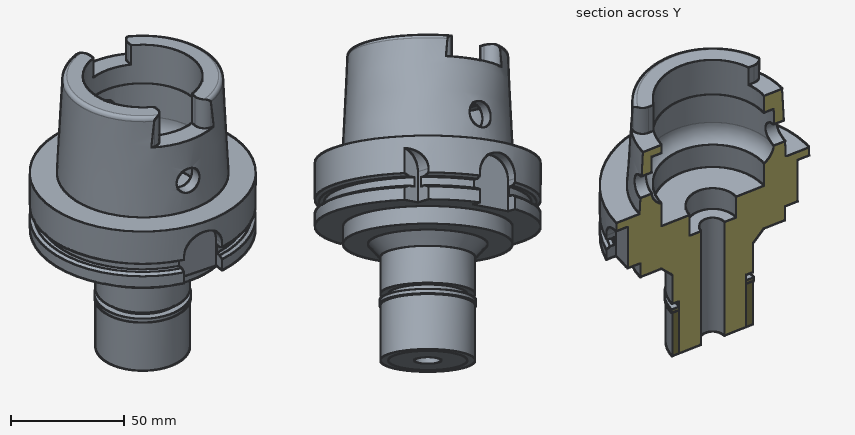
import cadquery as cq
import math


collar_bottom_z = 25.0
collar_height = 2.3
barrel_bottom_z = 30.2
cone_bottom_z = 47.0
boss_bottom_z = 53.0
flange_bottom_z = 61.0
flange_height = 29.0
taper_height = 50.0
flange_top_z = flange_bottom_z + flange_height
shank_top_z = flange_top_z + taper_height

spigot_radius = 17.5
barrel_radius = 21.0
cone_top_radius = 26.5
boss_radius = 37.5
flange_radius = 50.0
taper_base_radius = 38.0
taper_slope = 0.05
taper_top_radius = taper_base_radius - taper_slope * taper_height
taper_top_fillet = 2.0

groove_centre_z = 70.0
groove_half_width = 2.1
groove_floor_radius = 45.9
groove_mouth_depth = 1.9
groove_mouth_rise = 1.1

mouth_bore_radius = 26.5
undercut_radius = 31.5
undercut_top_z = shank_top_z - 20.0
undercut_round_top_z = 99.6
undercut_round = 10.0
bore_floor_z = 78.0
counterbore_radius = 12.0
counterbore_depth = 12.0
coolant_radius = 6.0
access_hole_radius = 6.0
access_hole_z = flange_top_z + 15.0

drive_slot_width = 19.8
drive_slot_round = 5.0
lug_face_x = 32.3
deep_slot_depth = 15.0
shallow_slot_depth = 10.0

notch_half_width = 10.0
notch_top_z = 85.0
side_notch_floor_x = 44.0
orientation_notch_floor_x = 31.6
orientation_notch_y = 41.25

collar_radius = 21.4
collar_chamfer = 0.35


def cylinder(radius, bottom_z, top_z):
    return cq.Workplane("XY").workplane(offset=bottom_z).circle(radius).extrude(top_z - bottom_z)


def shank_blank():
    """Turned outside of the shank, from the spigot up to the open end of the taper."""
    groove_low_z = groove_centre_z - groove_half_width
    groove_high_z = groove_centre_z + groove_half_width
    mouth_radius = flange_radius - groove_mouth_depth
    blank = (
        cq.Workplane("XZ")
        .moveTo(0, 0)
        .lineTo(spigot_radius, 0)
        .lineTo(spigot_radius, barrel_bottom_z)
        .lineTo(barrel_radius, barrel_bottom_z)
        .lineTo(barrel_radius, cone_bottom_z)
        .lineTo(cone_top_radius, boss_bottom_z)
        .lineTo(boss_radius, boss_bottom_z)
        .lineTo(boss_radius, flange_bottom_z)
        .lineTo(flange_radius, flange_bottom_z)
        .lineTo(flange_radius, groove_low_z - groove_mouth_rise)
        .lineTo(mouth_radius, groove_low_z)
        .lineTo(groove_floor_radius, groove_low_z)
        .lineTo(groove_floor_radius, groove_high_z)
        .lineTo(mouth_radius, groove_high_z)
        .lineTo(flange_radius, groove_high_z + groove_mouth_rise)
        .lineTo(flange_radius, flange_top_z)
        .lineTo(taper_base_radius, flange_top_z)
        .lineTo(taper_top_radius, shank_top_z)
        .lineTo(0, shank_top_z)
        .close()
        .revolve(360, (0, 0, 0), (0, 1, 0))
    )
    return blank.faces(">Z").edges().fillet(taper_top_fillet)


def axial_bores():
    """Stepped bore along the axis, as one cutting solid; a round narrows the undercut to the mouth radius."""
    counterbore_floor_z = bore_floor_z - counterbore_depth
    round_centre_r = undercut_radius - undercut_round
    end_angle = math.acos((mouth_bore_radius - round_centre_r) / undercut_round)
    round_end_z = undercut_round_top_z - undercut_round * math.sin(end_angle)
    round_mid_r = round_centre_r + undercut_round * math.cos(end_angle / 2)
    round_mid_z = undercut_round_top_z - undercut_round * math.sin(end_angle / 2)
    return (
        cq.Workplane("XZ")
        .moveTo(0, 0)
        .lineTo(coolant_radius, 0)
        .lineTo(coolant_radius, counterbore_floor_z)
        .lineTo(counterbore_radius, counterbore_floor_z)
        .lineTo(counterbore_radius, bore_floor_z)
        .lineTo(mouth_bore_radius, bore_floor_z)
        .lineTo(mouth_bore_radius, round_end_z)
        .threePointArc((round_mid_r, round_mid_z), (undercut_radius, undercut_round_top_z))
        .lineTo(undercut_radius, undercut_top_z)
        .lineTo(mouth_bore_radius, undercut_top_z)
        .lineTo(mouth_bore_radius, shank_top_z)
        .lineTo(0, shank_top_z)
        .close()
        .revolve(360, (0, 0, 0), (0, 1, 0))
    )


def access_hole():
    """Cutter for the radial hole through both walls of the taper."""
    length = 2 * taper_base_radius
    return (
        cq.Workplane("YZ")
        .workplane(offset=-length / 2)
        .center(0, access_hole_z)
        .circle(access_hole_radius)
        .extrude(length)
    )


def drive_slot(side, depth):
    """Cutter for one drive slot; it flares through rounded corners into flat lug faces.

    side is +1 for the slot at +X and -1 for the slot at -X.
    """
    half_width = drive_slot_width / 2
    outer = taper_base_radius
    round_start_x = lug_face_x - drive_slot_round
    round_end_y = half_width + drive_slot_round
    diagonal = drive_slot_round * math.sqrt(0.5)
    round_mid_x = round_start_x + diagonal
    round_mid_y = round_end_y - diagonal
    return (
        cq.Workplane("XY")
        .workplane(offset=shank_top_z - depth)
        .moveTo(0, -half_width)
        .lineTo(side * round_start_x, -half_width)
        .threePointArc((side * round_mid_x, -round_mid_y), (side * lug_face_x, -round_end_y))
        .lineTo(side * lug_face_x, -outer)
        .lineTo(side * outer, -outer)
        .lineTo(side * outer, outer)
        .lineTo(side * lug_face_x, outer)
        .lineTo(side * lug_face_x, round_end_y)
        .threePointArc((side * round_mid_x, round_mid_y), (side * round_start_x, half_width))
        .lineTo(0, half_width)
        .close()
        .extrude(depth)
    )


def flange_notch(side, floor_x, centre_y):
    """Cutter for a round-topped notch, open at the rim and at the underside of the flange."""
    arch_z = notch_top_z - notch_half_width
    return (
        cq.Workplane("YZ")
        .workplane(offset=side * floor_x)
        .moveTo(centre_y - notch_half_width, flange_bottom_z)
        .lineTo(centre_y - notch_half_width, arch_z)
        .threePointArc((centre_y, notch_top_z), (centre_y + notch_half_width, arch_z))
        .lineTo(centre_y + notch_half_width, flange_bottom_z)
        .close()
        .extrude(side * (flange_radius - floor_x))
    )


def make_shank():
    shank = shank_blank().cut(axial_bores()).cut(access_hole())
    for side, slot_depth in ((1, deep_slot_depth), (-1, shallow_slot_depth)):
        shank = shank.cut(drive_slot(side, slot_depth))
        shank = shank.cut(flange_notch(side, side_notch_floor_x, 0))
    return shank.cut(flange_notch(-1, orientation_notch_floor_x, orientation_notch_y))


def make_collar():
    """Thin ring on the spigot, chamfered at its lower rim."""
    collar_top_z = collar_bottom_z + collar_height
    disc = cylinder(collar_radius, collar_bottom_z, collar_top_z)
    disc = disc.faces("<Z").edges().chamfer(collar_chamfer)
    return disc.cut(cylinder(spigot_radius, collar_bottom_z, collar_top_z))


def make_sleeve():
    """Plain tube around the lower end of the spigot."""
    return cylinder(barrel_radius, 0, collar_bottom_z).cut(cylinder(spigot_radius, 0, collar_bottom_z))


shank = make_shank()
collar = make_collar()
sleeve = make_sleeve()

result = cq.Compound.makeCompound([body.solids().val() for body in (shank, collar, sleeve)])